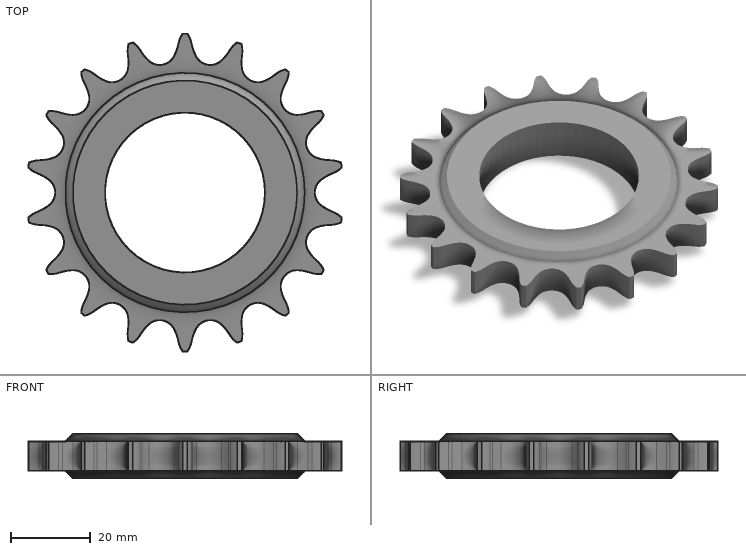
import cadquery as cq
import math


tooth_count = 18
tip_diameter = 79.65
tooth_width = 7.4
hub_width = 11.2
hub_diameter = 60.0
bore_diameter = 40.0
seat_clearance = 0.055

hub_face_diameter = hub_diameter - (hub_width - tooth_width)

tip_height_ratio = 0.6
roller_ratio = 5 / 8
half_step = math.pi / tooth_count
tip_radius = tip_diameter / 2
pitch = tip_diameter / (tip_height_ratio + 1 / math.tan(half_step))
pitch_radius = pitch / (2 * math.sin(half_step))
roller_diameter = pitch * roller_ratio

seat_radius = roller_diameter / 2 + seat_clearance
seat_end_angle = math.radians(35 + 60 / tooth_count)
working_sweep = math.radians(18 - 56 / tooth_count)
working_offset = 0.8 * roller_diameter
topping_offset = 1.4 * roller_diameter


def along(origin, angle, distance):
    """Point at a distance from origin, in the direction an angle below +X."""
    return (origin[0] + distance * math.cos(angle), origin[1] - distance * math.sin(angle))


def right_flank():
    """Points of one gap, centred on +Y, from the end of the seat up to the tip circle."""
    roller_centre = (0, pitch_radius)
    working_centre = along(roller_centre, seat_end_angle, -working_offset)
    topping_centre = along(roller_centre, half_step, topping_offset)
    working_radius = seat_radius + working_offset
    flank_angle = seat_end_angle - working_sweep

    seat_end = along(roller_centre, seat_end_angle, seat_radius)
    working_middle = along(working_centre, seat_end_angle - working_sweep / 2, working_radius)
    working_end = along(working_centre, flank_angle, working_radius)

    centre_gap = (
        (topping_centre[0] - working_centre[0]) * math.cos(flank_angle)
        - (topping_centre[1] - working_centre[1]) * math.sin(flank_angle)
    )
    topping_radius = centre_gap - working_radius
    topping_start = along(topping_centre, flank_angle, -topping_radius)

    centre_distance = math.hypot(*topping_centre)
    tip_cosine = (centre_distance**2 + topping_radius**2 - tip_radius**2) / (
        2 * centre_distance * topping_radius
    )
    centre_bearing = math.atan2(topping_centre[1], topping_centre[0])
    tip_angle = math.acos(tip_cosine) - centre_bearing
    topping_end = along(topping_centre, tip_angle, -topping_radius)
    topping_middle = along(topping_centre, (flank_angle + tip_angle) / 2, -topping_radius)
    return [seat_end, working_middle, working_end, topping_start, topping_middle, topping_end]


def turned(point, angle):
    """Point turned clockwise about the part axis."""
    x, y = point
    return (
        x * math.cos(angle) + y * math.sin(angle),
        y * math.cos(angle) - x * math.sin(angle),
    )


def toothed_disc():
    right = right_flank()
    left = [(-x, y) for x, y in reversed(right)]
    seat_bottom = (0, pitch_radius - seat_radius)
    tooth_tip = turned((0, tip_radius), half_step)

    outline = cq.Workplane("XY").workplane(offset=-tooth_width / 2)
    outline = outline.moveTo(*turned(left[0], half_step))
    for tooth in range(tooth_count):
        gap_angle = (2 * tooth + 1) * half_step
        fall = [turned(point, gap_angle) for point in left]
        bottom = turned(seat_bottom, gap_angle)
        rise = [turned(point, gap_angle) for point in right]
        tip = turned(tooth_tip, gap_angle)
        next_start = turned(left[0], gap_angle + 2 * half_step)
        outline = (
            outline.threePointArc(fall[1], fall[2])
            .lineTo(*fall[3])
            .threePointArc(fall[4], fall[5])
            .threePointArc(bottom, rise[0])
            .threePointArc(rise[1], rise[2])
            .lineTo(*rise[3])
            .threePointArc(rise[4], rise[5])
            .threePointArc(tip, next_start)
        )
    return outline.close().extrude(tooth_width)


def hub():
    """Turned hub, bevelled from its full diameter at the disc to each end face."""
    half_profile = [
        (0, -hub_width / 2),
        (hub_face_diameter / 2, -hub_width / 2),
        (hub_diameter / 2, -tooth_width / 2),
        (hub_diameter / 2, tooth_width / 2),
        (hub_face_diameter / 2, hub_width / 2),
        (0, hub_width / 2),
    ]
    return cq.Workplane("XZ").polyline(half_profile).close().revolve(360, (0, 0), (0, 1))


def bore():
    return cq.Workplane("XY").workplane(offset=-hub_width / 2).circle(bore_diameter / 2).extrude(hub_width)


result = toothed_disc().union(hub()).cut(bore())